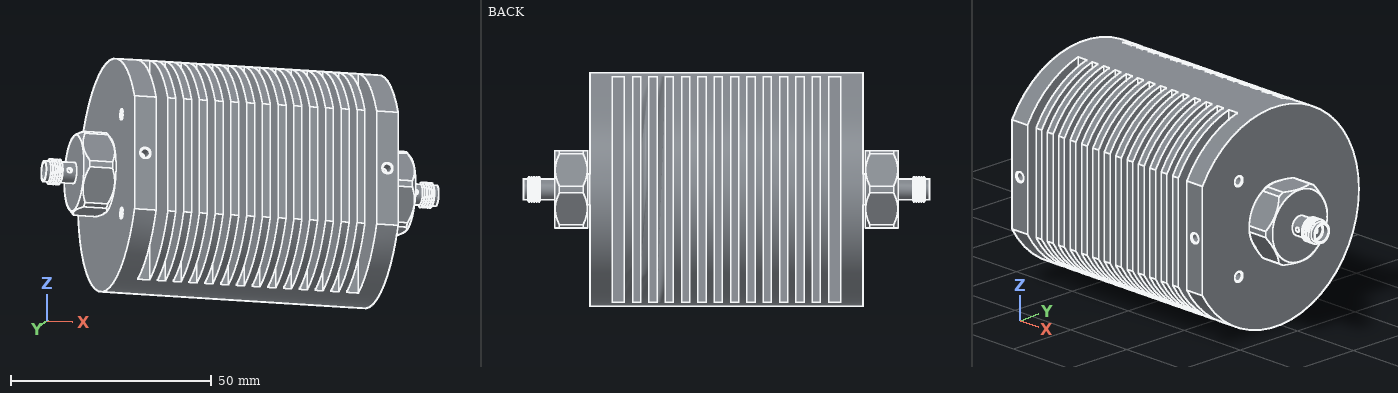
import cadquery as cq
import math

overall_length = 101.4

body_length = 68.1
body_radius = 29.2
flat_distance = 25.3

fin_count = 13
fin_bank_length = 50.9
fin_width = fin_bank_length / (2 * fin_count - 1)
end_slot_width = 3.0
web_thickness = 15.5

hole_diameter = 2.3
hole_mouth_chamfer = 0.25
hole_depth = 5.1
drill_point_angle = 118
end_hole_offset = 12.7

collar_diameter = 7.7
collar_length = 0.5
nut_length = 8.3
nut_across_flats = 19.4
nut_corner_diameter = 21.5
nut_chamfer = 1.2

neck_diameter = 5.3
thread_diameter = 6.4
thread_pitch = 0.63
thread_turns = 5
thread_tip_gap = 1.1
mouth_diameter = 4.6
mouth_depth = 1.7
inner_bore_diameter = 4.1
inner_bore_depth = 0.2
contact_hole_diameter = 1.0
contact_hole_depth = 2.0
vent_diameter = 1.2
vent_depth = 1.0
vent_from_nut = 1.8

body_end = body_length / 2
nut_inner = body_end + collar_length
nut_outer = nut_inner + nut_length
tip = overall_length / 2
mouth_floor = tip - mouth_depth
bore_floor = mouth_floor - inner_bore_depth


def rod(diameter, start, end):
    """Cylinder on the X axis between two stations."""
    return cq.Workplane("YZ").workplane(offset=start).circle(diameter / 2).extrude(end - start)


def make_body():
    """Round bar with a flat cut along its -Y side."""
    bar = rod(2 * body_radius, -body_end, body_end)
    flat_cutter = cq.Workplane("XY").box(
        body_length, body_radius, 2 * body_radius, centered=(True, False, True)
    )
    return bar.cut(flat_cutter.translate((0, -flat_distance - body_radius, 0)))


def cut_slot(body, center, width):
    """Cut one slot down to the web on both the front and the back."""
    for side in (-1, 1):
        middle = side * (web_thickness + body_radius) / 2
        slot = cq.Workplane("XY").box(width, body_radius, 2 * body_radius)
        body = body.cut(slot.translate((center, middle, 0)))
    return body


def cut_fins(body):
    """Cut the narrow slots between the fins and the wider slot at each end of the bank."""
    for gap in range(fin_count - 1):
        center = (gap - (fin_count - 2) / 2) * 2 * fin_width
        body = cut_slot(body, center, fin_width)
    end_slot_center = (fin_bank_length + end_slot_width) / 2
    for side in (-1, 1):
        body = cut_slot(body, side * end_slot_center, end_slot_width)
    return body


def make_drill(point_height):
    """Hole shape with its mouth at the origin, running along +Y to a point or a flat floor."""
    radius = hole_diameter / 2
    return (
        cq.Workplane("XY")
        .lineTo(radius + hole_mouth_chamfer, 0)
        .lineTo(radius, hole_mouth_chamfer)
        .lineTo(radius, hole_depth)
        .lineTo(0, hole_depth + point_height)
        .close()
        .revolve(360, (0, 0, 0), (0, 1, 0))
    )


def cut_flat_holes(body):
    """Drill a conical-bottomed hole in the flat at the middle of each end land."""
    land_inner = fin_bank_length / 2 + end_slot_width
    land_middle = (land_inner + body_end) / 2
    point_height = hole_diameter / 2 / math.tan(math.radians(drill_point_angle / 2))
    drill = make_drill(point_height)
    for side in (-1, 1):
        body = body.cut(drill.translate((side * land_middle, -flat_distance, 0)))
    return body


def cut_end_holes(body):
    """Drill two flat-bottomed holes into each end face, near the flat."""
    drill = make_drill(0).rotate((0, 0, 0), (0, 0, 1), 90)
    for height in (-end_hole_offset, end_hole_offset):
        right_drill = drill.translate((body_end, -end_hole_offset, height))
        body = body.cut(right_drill).cut(right_drill.mirror("YZ"))
    return body


def make_nut():
    """Hexagon with flats at +Z and -Z, its corners turned round and chamfered at both faces."""
    hexagon_diameter = nut_across_flats / math.cos(math.radians(30))
    hexagon = (
        cq.Workplane("YZ")
        .workplane(offset=nut_inner)
        .polygon(6, hexagon_diameter)
        .extrude(nut_length)
    )
    turned_blank = rod(nut_corner_diameter, nut_inner, nut_outer).edges("%CIRCLE").chamfer(nut_chamfer)
    return hexagon.intersect(turned_blank)


def make_thread():
    """Row of V-shaped thread crests, turned about the X axis."""
    root = neck_diameter / 2
    crest = thread_diameter / 2
    start = tip - thread_tip_gap - thread_turns * thread_pitch
    profile = cq.Workplane("XY").moveTo(start, 0).lineTo(start, root)
    for turn in range(thread_turns):
        turn_start = start + turn * thread_pitch
        profile = profile.lineTo(turn_start + thread_pitch / 2, crest)
        profile = profile.lineTo(turn_start + thread_pitch, root)
    profile = profile.lineTo(start + thread_turns * thread_pitch, 0).close()
    return profile.revolve(360, (0, 0, 0), (1, 0, 0))


def make_connector():
    """Collar, nut and threaded coaxial socket for the +X end."""
    neck = rod(neck_diameter, nut_outer, tip).union(make_thread())
    neck = neck.cut(rod(mouth_diameter, mouth_floor, tip))
    neck = neck.cut(rod(inner_bore_diameter, bore_floor, tip))
    neck = neck.cut(rod(contact_hole_diameter, bore_floor - contact_hole_depth, tip))
    vent = (
        cq.Workplane("XZ", origin=(nut_outer + vent_from_nut, -neck_diameter / 2, 0))
        .circle(vent_diameter / 2)
        .extrude(-vent_depth)
    )
    collar = rod(collar_diameter, body_end, nut_inner)
    return collar.union(make_nut()).union(neck.cut(vent))


body = cut_fins(make_body())
body = cut_flat_holes(body)
body = cut_end_holes(body)

connector = make_connector()
result = body.union(connector).union(connector.mirror("YZ"))